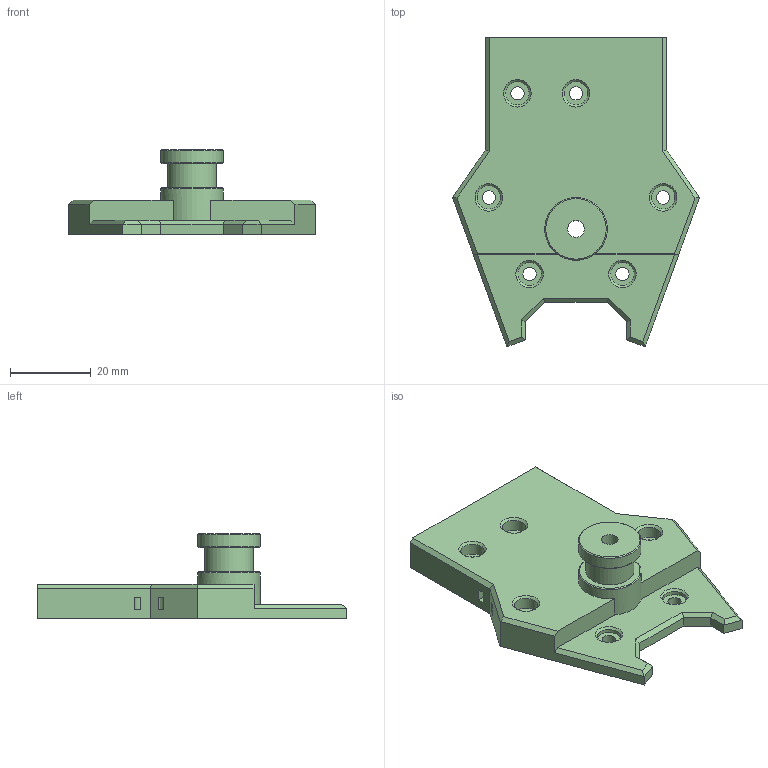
import cadquery as cq
import math


THICK = 8.5
THIN = 3.5
EDGE_CHAMFER = 1.0
STEP_Y = -6.2
BACK_Y = 47.5
BACK_HALF_WIDTH = 22.5
WAIST_Y = 19.5
WIDEST_Y = 7.8
WIDEST_HALF_WIDTH = 30.59
FRONT_Y = -29.18
TAPER_ANGLE = 20.0

NOTCH_HALF_WIDTH = 12.45
NOTCH_Y = -18.2
NOTCH_CORNER = 4.75

PIN_HEIGHT = 21.0
PIN_RADIUS = 7.75
NECK_RADIUS = 6.0
NECK_BOTTOM = 11.5
NECK_TOP = 17.5
PIN_CHAMFER = 0.25
BORE_DIAMETER = 4.2

SCREW_DIAMETER = 3.3
HEAD_DIAMETER = 5.8
HEAD_CHAMFER = 0.5
HEAD_CHAMFER_ANGLE = 45.0
THICK_SEAT_HEIGHT = 5.0
THIN_SEAT_HEIGHT = 2.0
THICK_HOLES = [(-14.5, 33.6), (0, 33.6), (-21.6, WIDEST_Y), (21.6, WIDEST_Y)]
THIN_HOLES = [(-11.5, -11.15), (11.5, -11.15)]

SLOT_INNER_RADIUS = 2.4
SLOT_OUTER_RADIUS = 4.0
SLOT_BOTTOM = 2.2
SLOT_HEIGHT = 3.0


def plate_outline():
    """Points of the plan outline, counter-clockwise from the back left corner."""
    taper = math.radians(TAPER_ANGLE)
    tip_x = WIDEST_HALF_WIDTH - (WIDEST_Y - FRONT_Y) * math.tan(taper)
    prong_inner_y = FRONT_Y + (tip_x - NOTCH_HALF_WIDTH) * math.tan(taper)
    left = [
        (-BACK_HALF_WIDTH, BACK_Y),
        (-BACK_HALF_WIDTH, WAIST_Y),
        (-WIDEST_HALF_WIDTH, WIDEST_Y),
        (-tip_x, FRONT_Y),
        (-NOTCH_HALF_WIDTH, prong_inner_y),
        (-NOTCH_HALF_WIDTH, NOTCH_Y - NOTCH_CORNER),
        (-NOTCH_HALF_WIDTH + NOTCH_CORNER, NOTCH_Y),
    ]
    right = [(-x, y) for x, y in reversed(left)]
    return left + right


def chamfered_slab(height):
    """Full outline at one height, its top edge chamfered everywhere but the back."""
    slab = cq.Workplane("XY").polyline(plate_outline()).close().extrude(height)
    back_edge = cq.selectors.BoxSelector(
        (-BACK_HALF_WIDTH, BACK_Y - EDGE_CHAMFER, 0),
        (BACK_HALF_WIDTH, BACK_Y + EDGE_CHAMFER, height + EDGE_CHAMFER),
    )
    top_edges = cq.selectors.SubtractSelector(
        cq.selectors.StringSyntaxSelector(">Z"), back_edge
    )
    return slab.edges(top_edges).chamfer(EDGE_CHAMFER)


def stepped_plate():
    """Thick plate behind the step, thin plate in front of it."""
    width = 2 * WIDEST_HALF_WIDTH
    behind_step = (
        cq.Workplane("XY")
        .box(width, BACK_Y - STEP_Y, THICK, centered=(True, False, False))
        .translate((0, STEP_Y, 0))
    )
    return chamfered_slab(THIN).union(chamfered_slab(THICK).intersect(behind_step))


def pin_section(radius, bottom, top):
    return cq.Workplane("XY", origin=(0, 0, bottom)).circle(radius).extrude(top - bottom)


def pin():
    """Pin with a grooved neck below its head; the groove rims are broken."""
    base = pin_section(PIN_RADIUS, 0, NECK_BOTTOM).faces(">Z").chamfer(PIN_CHAMFER)
    neck = pin_section(NECK_RADIUS, NECK_BOTTOM, NECK_TOP)
    head = pin_section(PIN_RADIUS, NECK_TOP, PIN_HEIGHT).edges().chamfer(PIN_CHAMFER)
    return base.union(neck).union(head)


def screw_hole(top, seat):
    """Cutter for a through hole with a chamfered counterbore from height seat up to top."""
    shaft = cq.Workplane("XY").circle(SCREW_DIAMETER / 2).extrude(top)
    head = (
        cq.Workplane("XY", origin=(0, 0, seat))
        .circle(HEAD_DIAMETER / 2)
        .extrude(top - seat)
    )
    mouth = (
        cq.Workplane("XY", origin=(0, 0, top))
        .circle(HEAD_DIAMETER / 2 + HEAD_CHAMFER)
        .extrude(-HEAD_CHAMFER, taper=HEAD_CHAMFER_ANGLE)
    )
    return shaft.union(head).union(mouth)


def tie_slot():
    """Ring-shaped cutter centred on the left waist corner."""
    return (
        cq.Workplane("XY", origin=(-BACK_HALF_WIDTH, WAIST_Y, SLOT_BOTTOM))
        .circle(SLOT_OUTER_RADIUS)
        .circle(SLOT_INNER_RADIUS)
        .extrude(SLOT_HEIGHT)
    )


result = stepped_plate().union(pin())
hole_groups = [
    (THICK, THICK_SEAT_HEIGHT, THICK_HOLES),
    (THIN, THIN_SEAT_HEIGHT, THIN_HOLES),
]
for top, seat, places in hole_groups:
    for x, y in places:
        result = result.cut(screw_hole(top, seat).translate((x, y, 0)))
result = result.cut(cq.Workplane("XY").circle(BORE_DIAMETER / 2).extrude(PIN_HEIGHT))
result = result.cut(tie_slot())